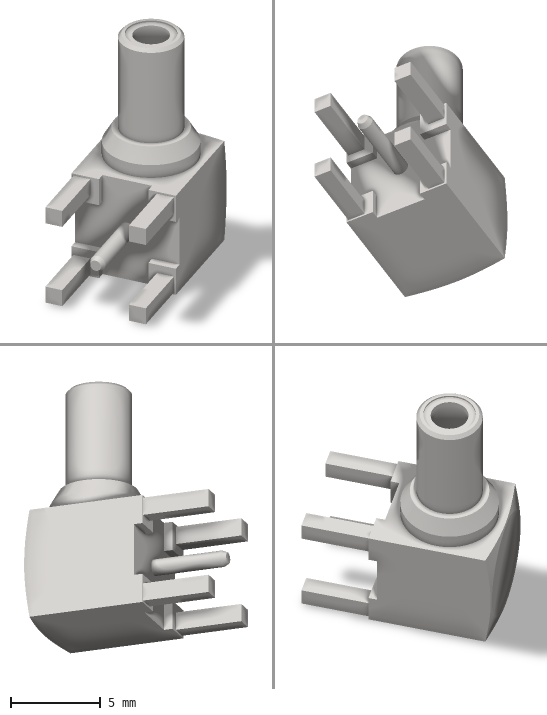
import cadquery as cq
import math

total_height = 14.05
total_depth = 11.0

body_size = 6.35
body_depth = 7.1
back_y = 0.0
front_y = back_y - body_depth
leg_end_y = back_y - total_depth
body_center_z = body_size / 2

back_flat_radius = 3.03
back_corner_drop = 0.35
body_corner_radius = body_size / math.sqrt(2)

recess_depth = 0.5
foot_size = 1.67

leg_pitch = 5.09
leg_size = 1.03
signal_pin_radius = 0.46
signal_tip_radius = 0.32
signal_tip_length = 0.31

barrel_y = back_y - 3.27
collar_radius = 2.75
collar_top_radius = 2.22
collar_straight = 0.81
collar_taper = 0.9
barrel_radius = 1.85
barrel_chamfer = 0.2
collar_top_z = body_size + collar_straight + collar_taper

mouth_radius = 1.46
mouth_depth = 0.1
bore_radius = 1.05
contact_radius = 0.24
contact_tip_radius = 0.15
contact_tip_length = 0.14
contact_top_z = total_height - 1.69


def revolve_upright(profile):
    """Revolve (radius, z) points about the barrel axis."""
    outline = cq.Workplane("XZ").polyline(profile).close()
    return outline.revolve(360, (0, 0), (0, 1)).translate((0, barrel_y, 0))


def front_plane(y):
    """Plane at the given y, centred on the body, with its normal toward -Y."""
    return cq.Workplane("XZ", origin=(0, y, body_center_z))


def make_body():
    block = front_plane(back_y).rect(body_size, body_size).extrude(body_depth)

    cone = front_plane(back_y).circle(back_flat_radius).workplane(offset=back_corner_drop)
    cone = cone.circle(body_corner_radius).loft()
    keep = cone.union(
        front_plane(back_y - back_corner_drop)
        .circle(body_corner_radius)
        .extrude(body_depth)
    )
    block = block.intersect(keep)

    recess = front_plane(front_y + recess_depth)
    vertical_slot = recess.rect(body_size - 2 * foot_size, body_size).extrude(recess_depth)
    horizontal_slot = recess.rect(body_size, body_size - 2 * foot_size).extrude(recess_depth)
    return block.cut(vertical_slot).cut(horizontal_slot)


def make_legs():
    return (
        front_plane(front_y)
        .rarray(leg_pitch, leg_pitch, 2, 2)
        .rect(leg_size, leg_size)
        .extrude(front_y - leg_end_y)
    )


def make_signal_pin():
    start_y = front_y + recess_depth
    pin = front_plane(start_y).circle(signal_pin_radius).extrude(start_y - leg_end_y)
    tip_inset = signal_pin_radius - signal_tip_radius
    return pin.faces("<Y").chamfer(signal_tip_length, tip_inset)


def make_barrel():
    return revolve_upright([
        (0, body_size),
        (collar_radius, body_size),
        (collar_radius, body_size + collar_straight),
        (collar_top_radius, collar_top_z),
        (barrel_radius, collar_top_z),
        (barrel_radius, total_height - barrel_chamfer),
        (barrel_radius - barrel_chamfer, total_height),
        (0, total_height),
    ])


def make_socket():
    """Shallow mouth and bore, leaving the pointed center contact standing."""
    mouth_floor_z = total_height - mouth_depth
    return revolve_upright([
        (0, total_height),
        (mouth_radius, total_height),
        (mouth_radius, mouth_floor_z),
        (bore_radius, mouth_floor_z),
        (bore_radius, collar_top_z),
        (contact_radius, collar_top_z),
        (contact_radius, contact_top_z - contact_tip_length),
        (contact_tip_radius, contact_top_z),
        (0, contact_top_z),
    ])


result = (
    make_body()
    .union(make_legs())
    .union(make_signal_pin())
    .union(make_barrel())
    .cut(make_socket())
)